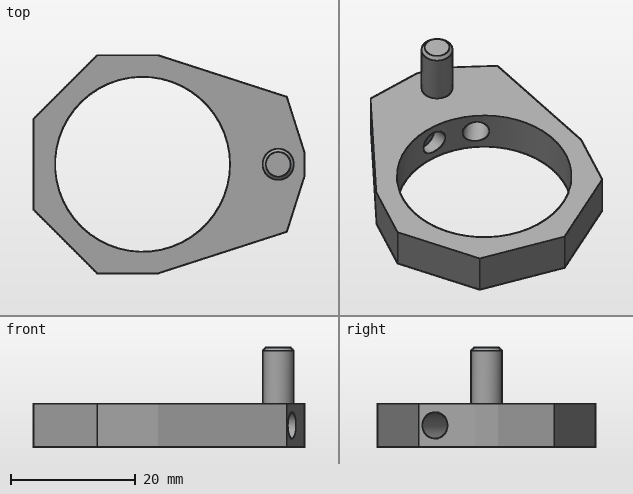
import cadquery as cq
import math

length = 43.5
width = 35.0
plate_thickness = 7.0
bore_radius = 14.0
half_width = width / 2
left_x = -half_width
nose_x = left_x + length

octagon_half_side = half_width * math.tan(math.radians(22.5))
flat_end_x = 2.5
shoulder_x = 23.15
shoulder_y = 10.85
nose_half_width = 1.85

pin_x = 21.75
pin_diameter = 5.0
pin_top = 16.0
pin_chamfer = 0.52

hole_diameter = 4.2
hole_angle = 24.0
hole_start_x = 5.4
through_length = length
blind_length = 10.88


def make_plate():
    upper = [
        (nose_x, nose_half_width),
        (shoulder_x, shoulder_y),
        (flat_end_x, half_width),
        (-octagon_half_side, half_width),
        (left_x, octagon_half_side),
    ]
    lower = [(x, -y) for x, y in reversed(upper)]
    blank = cq.Workplane("XY").polyline(upper + lower).close().extrude(plate_thickness)
    bore = cq.Workplane("XY").circle(bore_radius).extrude(plate_thickness)
    return blank.cut(bore)


def make_pin():
    pin = cq.Workplane("XY").center(pin_x, 0).circle(pin_diameter / 2).extrude(pin_top)
    return pin.faces(">Z").chamfer(pin_chamfer)


def make_hole(side, hole_length):
    """Hole from inside the bore outward; side is +1 towards +Y and -1 towards -Y."""
    hole = cq.Workplane("YZ").center(0, plate_thickness / 2)
    hole = hole.circle(hole_diameter / 2).extrude(hole_length)
    hole = hole.rotate((0, 0, 0), (0, 0, 1), side * hole_angle)
    return hole.translate((hole_start_x, 0, 0))


result = make_plate().union(make_pin())
result = result.cut(make_hole(-1, through_length))
result = result.cut(make_hole(1, blind_length))